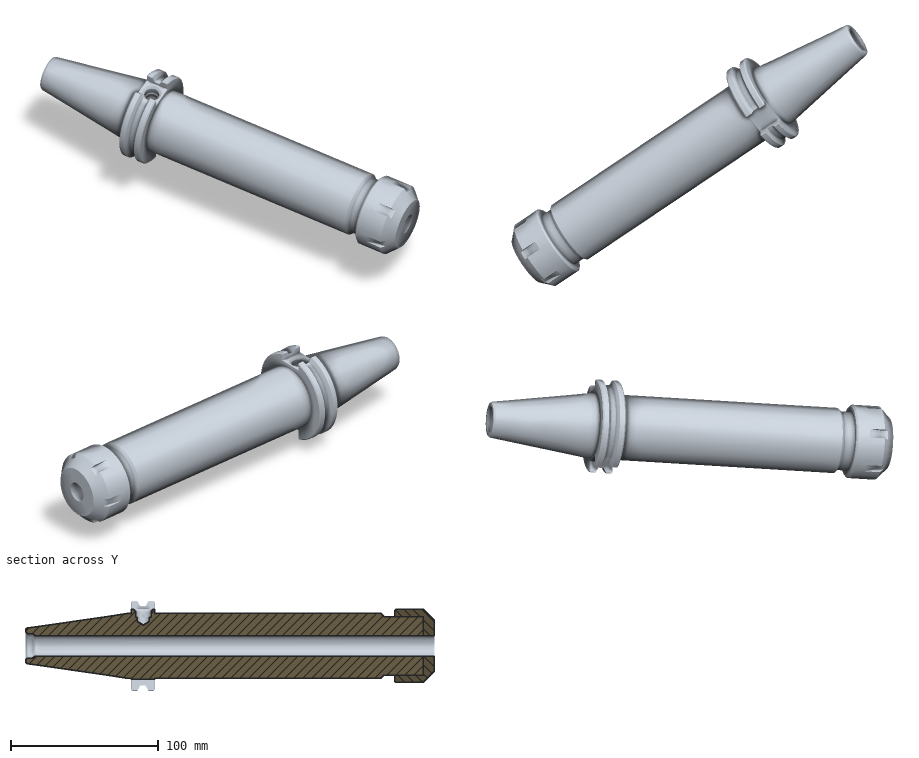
import cadquery as cq
import math

TOTAL_LENGTH = 277.0

TAPER_LENGTH = 68.2
TAPER_RATIO = 7 / 24
TAPER_LARGE_RADIUS = 44.0 / 2
TAPER_SMALL_RADIUS = TAPER_LARGE_RADIUS - TAPER_LENGTH * TAPER_RATIO / 2
TAPER_BEVEL_LENGTH = 1.5
TAPER_FACE_RADIUS = 23.0 / 2

BODY_RADIUS = 44.3 / 2
BODY_END = 240.8
COLLAR_BEVEL_LENGTH = 0.8

RELIEF_RADIUS = 44.0 / 2
RELIEF_WIDTH = 0.8

FLANGE_START = 71.5
FLANGE_END = 87.5
FLANGE_RADIUS = 63.2 / 2
FLANGE_CHAMFER = 0.8
GROOVE_RADIUS = 56.2 / 2
GROOVE_CENTRE = 79.5
GROOVE_FLOOR_WIDTH = 3.5
GROOVE_WALL_ANGLE = 30.0
GROOVE_MOUTH_WIDTH = GROOVE_FLOOR_WIDTH + 2 * (FLANGE_RADIUS - GROOVE_RADIUS) * math.tan(
    math.radians(GROOVE_WALL_ANGLE)
)

SLOT_WIDTH = 16.0
SLOT_CHAMFER = 0.5
TOP_SLOT_FLOOR = 25.0
BOTTOM_SLOT_FLOOR = 22.7

SLOT_HOLE_MOUTH_DIAMETER = 13.3
SLOT_HOLE_X = 79.8
SLOT_HOLE_DIAMETER = 10.3
SLOT_HOLE_DEPTH = 5.5
PILOT_DIAMETER = 8.0
PILOT_DEPTH = 8.3
PILOT_TIP_ANGLE = 118.0

NECK_RADIUS = 40.0 / 2
NECK_START = BODY_END + (BODY_RADIUS - NECK_RADIUS)

BORE_DIAMETER = 13.5
BORE_MOUTH_DIAMETER = 16.3
BORE_MOUTH_DEPTH = 4.7
BORE_CONE_LENGTH = 2.0
BORE_COUNTERSINK_DIAMETER = 18.8

NUT_START = 250.0
NUT_RADIUS = 25.0
NUT_BACK_CHAMFER = 1.0
NUT_NOSE_RADIUS = 17.5
NUT_NOSE_START = 269.5
SPIGOT_END = NUT_NOSE_START

NOTCH_COUNT = 6
NOTCH_WIDTH = 6.0
NOTCH_START = 259.0
NOTCH_RAMP_END = 267.4
NOTCH_FLOOR = 22.2
NOTCH_RAMP_HOLLOW = 0.3
NOTCH_RAMP_MIDDLE = (NOTCH_START + NOTCH_RAMP_END) / 2
NOTCH_RAMP_MIDDLE_RADIUS = (NUT_RADIUS + NOTCH_FLOOR) / 2 - NOTCH_RAMP_HOLLOW


def revolved(profile):
    """Solid of revolution about X from (x, radius) points."""
    return cq.Workplane("XY").polyline(profile).close().revolve(360, (0, 0, 0), (1, 0, 0))


def holder_blank():
    bevel_end_radius = TAPER_SMALL_RADIUS + TAPER_BEVEL_LENGTH * TAPER_RATIO / 2
    return revolved([
        (0, 0),
        (0, TAPER_FACE_RADIUS),
        (TAPER_BEVEL_LENGTH, bevel_end_radius),
        (TAPER_LENGTH, TAPER_LARGE_RADIUS),
        (TAPER_LENGTH + COLLAR_BEVEL_LENGTH, BODY_RADIUS),
        (FLANGE_START - RELIEF_WIDTH, BODY_RADIUS),
        (FLANGE_START - RELIEF_WIDTH, RELIEF_RADIUS),
        (FLANGE_START, RELIEF_RADIUS),
        (FLANGE_START, FLANGE_RADIUS - FLANGE_CHAMFER),
        (FLANGE_START + FLANGE_CHAMFER, FLANGE_RADIUS),
        (FLANGE_END - FLANGE_CHAMFER, FLANGE_RADIUS),
        (FLANGE_END, FLANGE_RADIUS - FLANGE_CHAMFER),
        (FLANGE_END, RELIEF_RADIUS),
        (FLANGE_END + RELIEF_WIDTH, RELIEF_RADIUS),
        (FLANGE_END + RELIEF_WIDTH, BODY_RADIUS),
        (BODY_END, BODY_RADIUS),
        (NECK_START, NECK_RADIUS),
        (SPIGOT_END, NECK_RADIUS),
        (SPIGOT_END, 0),
    ])


def gripper_groove():
    """Cutter for the V-groove around the flange."""
    half_mouth = GROOVE_MOUTH_WIDTH / 2
    half_floor = GROOVE_FLOOR_WIDTH / 2
    return revolved([
        (GROOVE_CENTRE - half_mouth, FLANGE_RADIUS),
        (GROOVE_CENTRE - half_floor, GROOVE_RADIUS),
        (GROOVE_CENTRE + half_floor, GROOVE_RADIUS),
        (GROOVE_CENTRE + half_mouth, FLANGE_RADIUS),
    ])


def holder_bore():
    bore_radius = BORE_DIAMETER / 2
    mouth_radius = BORE_MOUTH_DIAMETER / 2
    countersink_radius = BORE_COUNTERSINK_DIAMETER / 2
    return revolved([
        (0, 0),
        (0, countersink_radius),
        (countersink_radius - mouth_radius, mouth_radius),
        (BORE_MOUTH_DEPTH, mouth_radius),
        (BORE_MOUTH_DEPTH + BORE_CONE_LENGTH, bore_radius),
        (SPIGOT_END, bore_radius),
        (SPIGOT_END, 0),
    ])


def drive_slot(floor, direction):
    """Cutter for one drive slot, flared at its ends and rim; direction is +1 for +Z and -1 for -Z."""
    half_width = SLOT_WIDTH / 2
    wide_half = half_width + SLOT_CHAMFER
    rim = math.sqrt(FLANGE_RADIUS**2 - half_width**2)
    plan = [
        (FLANGE_START, wide_half),
        (FLANGE_START + SLOT_CHAMFER, half_width),
        (FLANGE_END - SLOT_CHAMFER, half_width),
        (FLANGE_END, wide_half),
        (FLANGE_END, -wide_half),
        (FLANGE_END - SLOT_CHAMFER, -half_width),
        (FLANGE_START + SLOT_CHAMFER, -half_width),
        (FLANGE_START, -wide_half),
    ]
    rim_flare = [
        (-half_width, rim - SLOT_CHAMFER),
        (-wide_half, rim),
        (-wide_half, FLANGE_RADIUS),
        (wide_half, FLANGE_RADIUS),
        (wide_half, rim),
        (half_width, rim - SLOT_CHAMFER),
    ]
    channel = (
        cq.Workplane("XY", origin=(0, 0, floor))
        .polyline(plan)
        .close()
        .extrude(FLANGE_RADIUS - floor)
    )
    flare = (
        cq.Workplane("YZ", origin=(FLANGE_START, 0, 0))
        .polyline(rim_flare)
        .close()
        .extrude(FLANGE_END - FLANGE_START)
    )
    cutter = channel.union(flare)
    return cutter if direction > 0 else cutter.mirror("XY")


def slot_hole():
    """Countersunk, stepped hole with a conical tip, sunk from the top slot floor."""
    mouth_radius = SLOT_HOLE_MOUTH_DIAMETER / 2
    hole_radius = SLOT_HOLE_DIAMETER / 2
    pilot_radius = PILOT_DIAMETER / 2
    countersink_depth = mouth_radius - hole_radius
    tip_length = pilot_radius / math.tan(math.radians(PILOT_TIP_ANGLE / 2))
    profile = [
        (0, 0),
        (mouth_radius, 0),
        (hole_radius, -countersink_depth),
        (hole_radius, -SLOT_HOLE_DEPTH),
        (pilot_radius, -SLOT_HOLE_DEPTH),
        (pilot_radius, -PILOT_DEPTH),
        (0, -PILOT_DEPTH - tip_length),
    ]
    cutter = cq.Workplane("XZ").polyline(profile).close().revolve(360, (0, 0, 0), (0, 1, 0))
    return cutter.translate((SLOT_HOLE_X, 0, TOP_SLOT_FLOOR))


def make_holder():
    holder = holder_blank().cut(gripper_groove()).cut(holder_bore())
    holder = holder.cut(drive_slot(TOP_SLOT_FLOOR, 1))
    holder = holder.cut(drive_slot(BOTTOM_SLOT_FLOOR, -1))
    return holder.cut(slot_hole())


def nut_notch(angle):
    """Cutter for one notch: a hollow ramp down to a flat floor that runs out through the nose."""
    cutter = (
        cq.Workplane("XY")
        .moveTo(NOTCH_START, NUT_RADIUS)
        .threePointArc((NOTCH_RAMP_MIDDLE, NOTCH_RAMP_MIDDLE_RADIUS), (NOTCH_RAMP_END, NOTCH_FLOOR))
        .lineTo(TOTAL_LENGTH, NOTCH_FLOOR)
        .lineTo(TOTAL_LENGTH, NUT_RADIUS)
        .close()
        .extrude(NOTCH_WIDTH / 2, both=True)
    )
    return cutter.rotate((0, 0, 0), (1, 0, 0), angle)


def make_nut():
    bore_radius = BORE_DIAMETER / 2
    nut = revolved([
        (NUT_START, NECK_RADIUS),
        (NUT_START, NUT_RADIUS - NUT_BACK_CHAMFER),
        (NUT_START + NUT_BACK_CHAMFER, NUT_RADIUS),
        (NUT_NOSE_START, NUT_RADIUS),
        (TOTAL_LENGTH, NUT_NOSE_RADIUS),
        (TOTAL_LENGTH, bore_radius),
        (SPIGOT_END, bore_radius),
        (SPIGOT_END, NECK_RADIUS),
    ])
    for index in range(NOTCH_COUNT):
        nut = nut.cut(nut_notch(index * 360 / NOTCH_COUNT))
    return nut


holder = make_holder()
nut = make_nut()

result = cq.Compound.makeCompound([holder.val(), nut.val()])